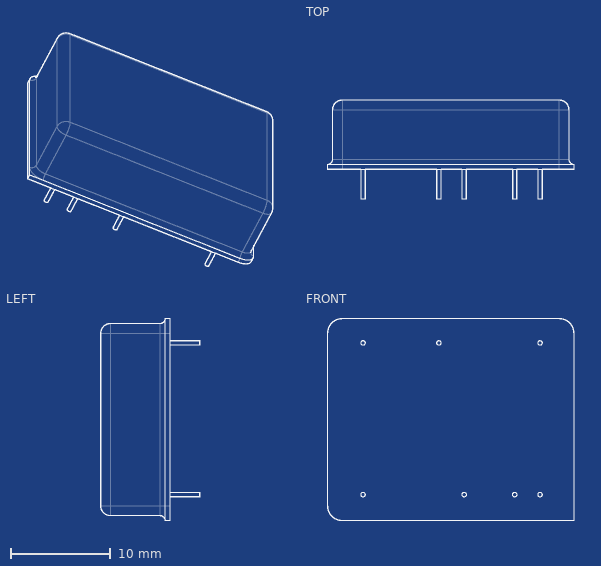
import cadquery as cq


flange_length = 24.77
flange_height = 20.32
flange_thickness = 0.5
flange_lip = 0.5
flange_corner_radius = 1.5

total_depth = 6.98
can_length = flange_length - 2 * flange_lip
can_height = flange_height - 2 * flange_lip
can_corner_radius = flange_corner_radius - flange_lip

foot_radius = flange_lip

pin_pitch = 2.54
pin_diameter = 0.45
pin_length = 3.0
pin_row_z = 3 * pin_pitch
pin_grid_offset = 0.08
upper_pin_steps = (-3.5, -0.5, 3.5)
lower_pin_steps = (-3.5, 0.5, 2.5, 3.5)


def make_flange():
    """Flat plate with three round corners; the +X, -Z corner stays square."""
    plate = cq.Workplane("XY").box(
        flange_length, flange_thickness, flange_height, centered=(True, False, True)
    )
    left_corners = plate.edges("|Y and <X")
    upper_right_corner = plate.edges("|Y and >X").edges(">Z")
    return plate.newObject(left_corners.vals() + upper_right_corner.vals()).fillet(flange_corner_radius)


def make_can():
    """Block with round corners and a round rim on the +Y face."""
    block = cq.Workplane("XY").box(can_length, total_depth, can_height, centered=(True, False, True))
    return block.edges("|Y or >Y").fillet(can_corner_radius)


def make_foot():
    """Concave flare swept around the can wall, from the flange up to the wall."""
    half_length = can_length / 2
    half_height = can_height / 2
    path = (
        cq.Workplane("XZ", origin=(0, flange_thickness, 0))
        .moveTo(half_length, 0)
        .lineTo(half_length, half_height - can_corner_radius)
        .radiusArc((half_length - can_corner_radius, half_height), -can_corner_radius)
        .lineTo(can_corner_radius - half_length, half_height)
        .radiusArc((-half_length, half_height - can_corner_radius), -can_corner_radius)
        .lineTo(-half_length, can_corner_radius - half_height)
        .radiusArc((can_corner_radius - half_length, -half_height), -can_corner_radius)
        .lineTo(half_length - can_corner_radius, -half_height)
        .radiusArc((half_length, can_corner_radius - half_height), -can_corner_radius)
        .close()
    )
    profile = (
        cq.Workplane("XY")
        .moveTo(half_length, flange_thickness)
        .lineTo(half_length + foot_radius, flange_thickness)
        .radiusArc((half_length, flange_thickness + foot_radius), foot_radius)
        .close()
    )
    return profile.sweep(path)


def make_pins():
    """Two rows of round pins, seated in the flange and standing out toward -Y."""
    upper_row = [(step * pin_pitch, pin_row_z) for step in upper_pin_steps]
    lower_row = [(step * pin_pitch, -pin_row_z) for step in lower_pin_steps]
    return (
        cq.Workplane("XZ", origin=(pin_grid_offset, flange_thickness, pin_grid_offset))
        .pushPoints(upper_row + lower_row)
        .circle(pin_diameter / 2)
        .extrude(flange_thickness + pin_length)
    )


result = make_flange().union(make_can()).union(make_foot()).union(make_pins())